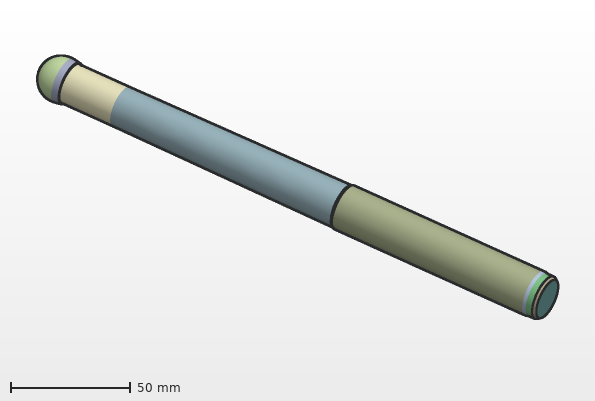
import cadquery as cq
import math

total_length = 250.0
ball_band_start = 11.5
ball_band_end = 14.8
neck_end = 40.0
grip_start = 149.2
grip_end = 244.0
collar_start = 245.5

ball_diameter = 20.2
band_end_diameter = 19.0
neck_diameter = 18.0
taper_end_diameter = 19.5
grip_diameter = 20.2
collar_diameter = 19.5
end_face_diameter = 17.5

grip_front_chamfer_depth = 0.2
grip_front_chamfer_length = 0.8
end_chamfer_length = 1.5

end_face_radius = end_face_diameter / 2
ball_radius = ball_diameter / 2
band_end_radius = band_end_diameter / 2
neck_radius = neck_diameter / 2
taper_end_radius = taper_end_diameter / 2
grip_radius = grip_diameter / 2
collar_radius = collar_diameter / 2


def revolve_about_x(profile):
    """Turn a closed half profile in the XY plane around the X axis."""
    return profile.close().revolve(360, (0, 0, 0), (1, 0, 0))


def make_shaft():
    """Ball tip ending in a short tapered band, a straight neck and a taper that widens toward the grip."""
    band_radius = math.sqrt(ball_radius**2 - (ball_band_start - ball_radius) ** 2)
    diagonal = ball_radius * math.sqrt(0.5)
    profile = (
        cq.Workplane("XY")
        .threePointArc((ball_radius - diagonal, diagonal), (ball_band_start, band_radius))
        .lineTo(ball_band_end, band_end_radius)
        .lineTo(ball_band_end, neck_radius)
        .lineTo(neck_end, neck_radius)
        .lineTo(grip_start, taper_end_radius)
        .lineTo(grip_start, 0)
    )
    return revolve_about_x(profile)


def make_grip():
    """Straight handle, chamfered in front, with a smaller chamfered collar at its end."""
    profile = (
        cq.Workplane("XY")
        .moveTo(grip_start, 0)
        .lineTo(grip_start, grip_radius - grip_front_chamfer_depth)
        .lineTo(grip_start + grip_front_chamfer_length, grip_radius)
        .lineTo(grip_end, grip_radius)
        .lineTo(collar_start, collar_radius)
        .lineTo(total_length - end_chamfer_length, collar_radius)
        .lineTo(total_length, end_face_radius)
        .lineTo(total_length, 0)
    )
    return revolve_about_x(profile)


shaft = make_shaft()
grip = make_grip()

result = cq.Compound.makeCompound([shaft.val(), grip.val()])